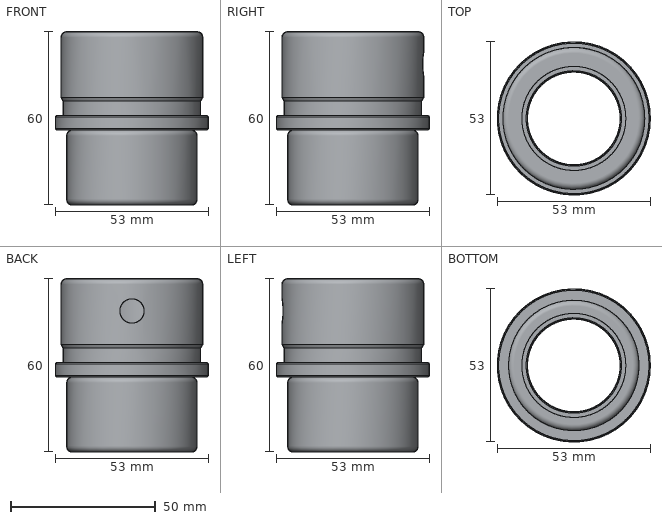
import cadquery as cq

height = 60.0
bore_radius = 16.0
liner_radius = 18.0
bore_chamfer = 0.5

head_radius = 24.55
groove_radius = 23.8
flange_diameter = 53.0
flange_radius = flange_diameter / 2
shank_radius = 22.55

shank_top = 26.0
flange_top = 31.0
groove_top = 36.0

edge_round = 2.0
head_taper_height = 1.3
flange_chamfer = 0.5

oil_hole_radius = 4.2
oil_hole_level = 48.85


def cylinder(radius, bottom, top):
    return cq.Workplane("XY").workplane(offset=bottom).circle(radius).extrude(top - bottom)


def oil_hole():
    wall_cut = cq.Workplane("XZ", origin=(0, 0, oil_hole_level)).circle(oil_hole_radius)
    return wall_cut.extrude(-flange_radius)


def make_housing():
    shank = cylinder(shank_radius, 0, shank_top).edges().fillet(edge_round)
    flange = cylinder(flange_radius, shank_top, flange_top).edges().chamfer(flange_chamfer)
    groove = cylinder(groove_radius, flange_top, groove_top)
    head = cylinder(head_radius, groove_top, height)
    head = head.faces("<Z").chamfer(head_taper_height, head_radius - groove_radius)
    head = head.faces(">Z").edges().fillet(edge_round)
    housing = shank.union(flange).union(groove).union(head)
    return housing.cut(cylinder(liner_radius, 0, height)).cut(oil_hole())


def make_liner():
    liner = cylinder(liner_radius, 0, height).cut(cylinder(bore_radius, 0, height))
    liner = liner.edges(cq.selectors.RadiusNthSelector(0)).chamfer(bore_chamfer)
    return liner.cut(oil_hole())


housing = make_housing()
liner = make_liner()

result = cq.Compound.makeCompound([housing.solids().val(), liner.solids().val()])